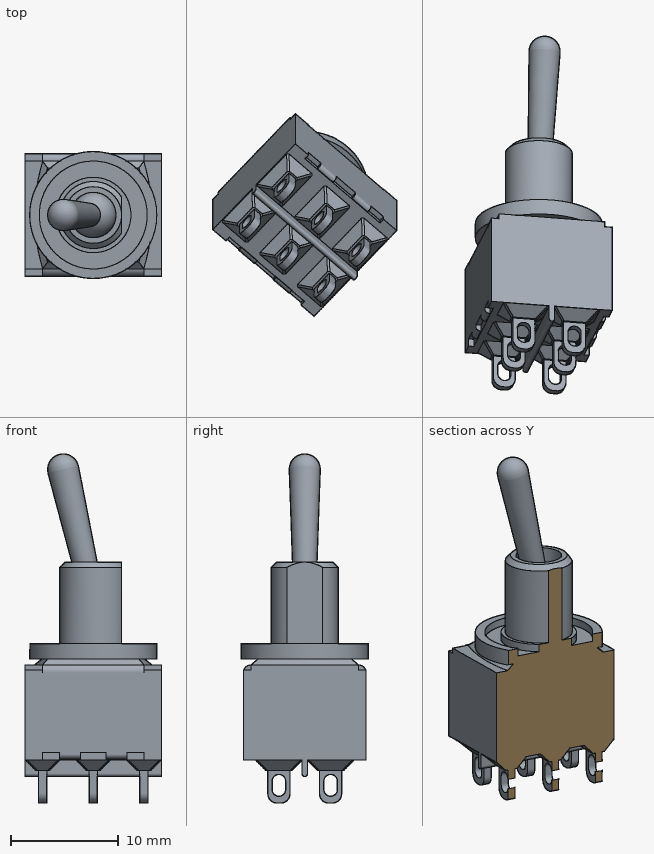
import cadquery as cq
import math


part_height = 32.4

housing_length = 12.7
housing_width = 11.4
housing_height = 8.85
end_notch_width = 0.7
end_notch_height = 0.5

cover_length = 9.4
cover_bend = 0.7
cover_bottom = 0.7
cover_thickness = 0.5
tab_length = 1.95
tab_bottom = 0.13
tab_bend = 0.4
tab_offset = 2.17

seat_width = housing_width - 2 * cover_bend
seat_bulge = 5.45
seat_height = 0.52
seat_slope = 50

washer_diameter = 11.8
washer_thickness = 1.45
groove_outer_diameter = 10.0
groove_inner_diameter = 7.0
groove_depth = 0.7

barrel_diameter = 6.22
barrel_length = 7.55
barrel_chamfer = 0.5
barrel_flat = 2.63
bore_diameter = 4.2

lever_tilt = 13
lever_root_radius = 1.05
lever_tip_radius = 1.45
tip_offset = 2.8

terminal_pitch = 4.7
terminal_row_offset = 2.4
terminal_thickness = 0.78
terminal_width = 2.07
terminal_bottom = -4.0
terminal_corner = 0.88
eyelet_width = 1.23
eyelet_top = -1.33
eyelet_bottom = -3.35
foot_height = 0.97
foot_length = 1.23
foot_width = 2.4
foot_bevel = 0.13

rib_thickness = 0.52
rib_depth = 1.52

washer_bottom = housing_height + seat_height
washer_top = washer_bottom + washer_thickness
barrel_top = washer_top + barrel_length
tip_center_z = part_height + terminal_bottom - lever_tip_radius
lever_length = tip_offset / math.sin(math.radians(lever_tilt))
pivot_z = tip_center_z - lever_length * math.cos(math.radians(lever_tilt))


def block(length, width, bottom, top):
    """Box centred on the Z axis between two levels."""
    return cq.Workplane("XY").workplane(offset=bottom).rect(length, width).extrude(top - bottom)


def cylinder(diameter, bottom, top):
    """Cylinder on the Z axis between two levels."""
    return cq.Workplane("XY").workplane(offset=bottom).circle(diameter / 2).extrude(top - bottom)


def make_housing():
    end_profile_width = housing_width - 2 * end_notch_width
    shoulder = housing_height - end_notch_height
    core_width = housing_width - 2 * cover_thickness
    ends = block(housing_length, housing_width, 0, shoulder)
    crest = block(housing_length, end_profile_width, shoulder, housing_height)
    ends = ends.union(crest, clean=False)
    ends = ends.cut(block(cover_length, housing_width, 0, housing_height), clean=False)
    return ends.union(block(cover_length, core_width, 0, cover_bottom), clean=False)


def make_cover():
    cover = block(cover_length, housing_width, cover_bottom, housing_height)
    cover = cover.edges("|X and >Z").fillet(cover_bend)
    for x in (-tab_offset, tab_offset):
        tabs = block(tab_length, housing_width, tab_bottom, cover_bottom)
        tabs = tabs.edges("|X and <Z").fillet(tab_bend)
        cover = cover.union(tabs.translate((x, 0, 0)))
    return cover


def make_seat():
    corner_x = cover_length / 2
    corner_y = seat_width / 2
    return (
        cq.Workplane("XY")
        .workplane(offset=housing_height)
        .moveTo(-corner_x, corner_y)
        .lineTo(corner_x, corner_y)
        .threePointArc((seat_bulge, 0), (corner_x, -corner_y))
        .lineTo(-corner_x, -corner_y)
        .threePointArc((-seat_bulge, 0), (-corner_x, corner_y))
        .close()
        .extrude(seat_height, taper=seat_slope)
    )


def make_washer():
    groove_floor = washer_top - groove_depth
    groove = cylinder(groove_outer_diameter, groove_floor, washer_top)
    groove = groove.cut(cylinder(groove_inner_diameter, groove_floor, washer_top))
    return cylinder(washer_diameter, washer_bottom, washer_top).cut(groove)


def make_barrel():
    barrel = cylinder(barrel_diameter, washer_top, barrel_top)
    barrel = barrel.faces(">Z").chamfer(barrel_chamfer)
    flat_cut = block(barrel_diameter, barrel_diameter, washer_top, barrel_top)
    return barrel.cut(flat_cut.translate((barrel_flat + barrel_diameter / 2, 0, 0)))


def make_lever():
    profile = (
        cq.Workplane("XZ")
        .lineTo(lever_root_radius, 0)
        .lineTo(lever_tip_radius, lever_length)
        .radiusArc((0, lever_length + lever_tip_radius), -lever_tip_radius)
        .close()
    )
    lever = profile.revolve(360, (0, 0, 0), (0, 1, 0))
    lever = lever.rotate((0, 0, 0), (0, 1, 0), -lever_tilt)
    ball = cq.Workplane("XY").sphere(bore_diameter / 2)
    return ball.union(lever).translate((0, 0, pivot_z))


def make_terminal():
    """One terminal with its tapered foot, centred on the Z axis."""
    foot = (
        cq.Workplane("XY")
        .workplane(offset=-foot_height)
        .rect(foot_length, foot_width)
        .workplane(offset=foot_height)
        .rect(foot_length + 2 * foot_height, foot_width + 2 * foot_height)
        .loft()
        .edges("not(|X or |Y)")
        .chamfer(foot_bevel)
    )
    blade = block(terminal_thickness, terminal_width, terminal_bottom, -foot_height)
    blade = blade.edges("|X and <Z").fillet(terminal_corner)
    eyelet = (
        cq.Workplane("YZ")
        .center(0, (eyelet_top + eyelet_bottom) / 2)
        .slot2D(eyelet_top - eyelet_bottom, eyelet_width, 90)
        .extrude(terminal_thickness, both=True)
    )
    return foot.union(blade.cut(eyelet))


def make_rib():
    straight_bottom = rib_thickness / 2 - rib_depth
    return (
        cq.Workplane("YZ")
        .moveTo(-rib_thickness / 2, 0)
        .lineTo(-rib_thickness / 2, straight_bottom)
        .threePointArc((0, -rib_depth), (rib_thickness / 2, straight_bottom))
        .lineTo(rib_thickness / 2, 0)
        .close()
        .extrude(housing_length / 2, both=True)
    )


def join(*parts):
    """One solid from touching parts, keeping the seams between flush faces."""
    joined = parts[0]
    for part in parts[1:]:
        joined = joined.union(part, clean=False)
    return joined


body = join(make_housing(), make_cover(), make_seat(), make_washer(), make_barrel())
body = body.cut(cylinder(bore_diameter, pivot_z, barrel_top), clean=False)
terminals = [
    make_terminal().translate((column * terminal_pitch, row * terminal_row_offset, 0))
    for column in (-1, 0, 1)
    for row in (-1, 1)
]
result = join(body, make_lever(), make_rib(), *terminals)